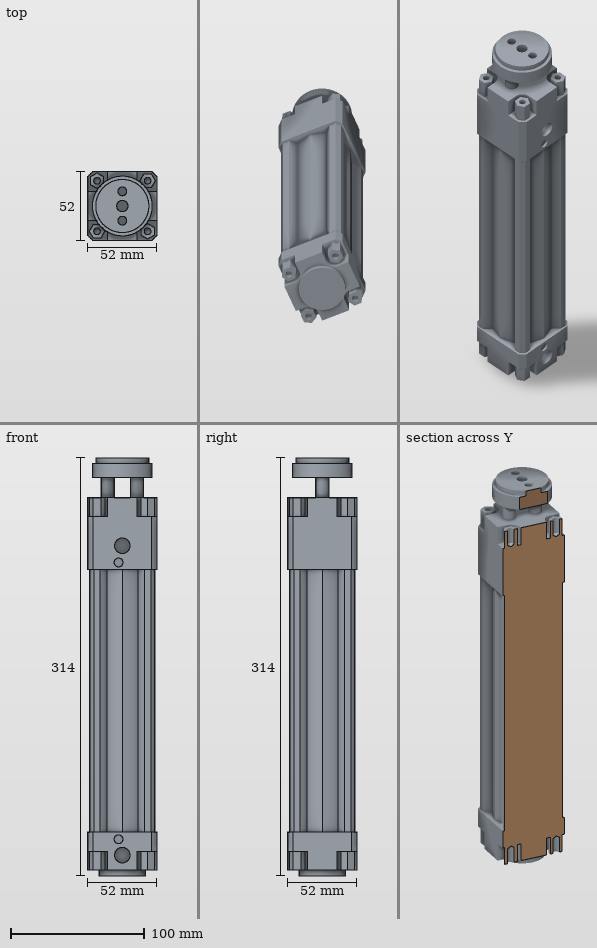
import cadquery as cq
import math

total_height = 314.0
spigot_height = 4.5
bottom_cap_height = 28.5
top_cap_height = 54.0
plate_height = 14.8
plate_rim_height = 4.0
rod_gap = 15.0

bottom_cap_z = spigot_height
tube_bottom_z = bottom_cap_z + bottom_cap_height
housing_top_z = total_height - plate_height - rod_gap
tube_top_z = housing_top_z - top_cap_height
plate_z = total_height - plate_height

cap_width = 52.0
cap_half = cap_width / 2
cap_chamfer = 4.0
notch_depth = 14.0
notch_edge = 11.0
notch_fillet = 7.0
spigot_diameter = 35.0

nut_spacing = 38.0
nut_offset = nut_spacing / 2
nut_corner_diameter = 11.5
nut_hole_diameter = 5.0
nut_hole_depth = 12.5
drill_point_angle = 118.0

tube_half = 24.5
tube_chamfer = 3.0
recess_half_width = 16.5
recess_depth = 5.0
ridge_depth = 1.5

port_diameter = 11.5
port_depth = 12.5
screw_hole_diameter = 6.5
screw_hole_depth = 1.5
screw_hole_x = -2.8
top_port_z = 248.0
top_screw_hole_z = 235.5
bottom_port_z = 15.7
bottom_screw_hole_z = 27.5

rod_diameter = 10.0
rod_offset = 11.0
plate_diameter = 45.0
plate_rim_diameter = 40.0
plate_center_hole_diameter = 8.5
plate_side_hole_diameter = 6.5
plate_side_hole_offset = 11.0


def make_cylinder(diameter, height, base_z, x=0.0, y=0.0):
    """Upright cylinder whose lower face is centred on (x, y, base_z)."""
    return cq.Workplane("XY", origin=(x, y, base_z)).circle(diameter / 2).extrude(height)


def make_corner_notch(base_z):
    """Cutter for one cap corner on the +X +Y side, rounded on its inner edge."""
    notch_size = cap_half - notch_edge
    return (
        cq.Workplane("XY", origin=(notch_edge, notch_edge, base_z))
        .rect(notch_size, notch_size, centered=False)
        .extrude(notch_depth)
        .edges("|Z and <X and <Y")
        .fillet(notch_fillet)
    )


def make_nut(base_z):
    """Plain hexagonal nut filling the height of the +X +Y notch."""
    return (
        cq.Workplane("XY", origin=(nut_offset, nut_offset, base_z))
        .polygon(6, nut_corner_diameter)
        .extrude(notch_depth)
    )


def make_nut_hole(outer_z, inward):
    """Drilled hole with a conical end, starting at outer_z; inward is +1 or -1 along Z."""
    radius = nut_hole_diameter / 2
    point_length = radius / math.tan(math.radians(drill_point_angle / 2))
    return (
        cq.Workplane("XZ", origin=(nut_offset, nut_offset, outer_z))
        .lineTo(radius, 0)
        .lineTo(radius, inward * nut_hole_depth)
        .lineTo(0, inward * (nut_hole_depth + point_length))
        .close()
        .revolve(360, (0, 0, 0), (0, 1, 0))
    )


def make_cap(base_z, height, notch_z, outer_z, inward):
    """Square end cap with a notch, a nut and a nut hole in each corner."""
    cap = (
        cq.Workplane("XY", origin=(0, 0, base_z))
        .rect(cap_width, cap_width)
        .extrude(height)
        .edges("|Z")
        .chamfer(cap_chamfer)
    )
    notch = make_corner_notch(notch_z)
    nut = make_nut(notch_z)
    nut_hole = make_nut_hole(outer_z, inward)
    for turn in range(4):
        angle = 90 * turn
        cap = cap.cut(notch.rotate((0, 0, 0), (0, 0, 1), angle))
        cap = cap.union(nut.rotate((0, 0, 0), (0, 0, 1), angle))
        cap = cap.cut(nut_hole.rotate((0, 0, 0), (0, 0, 1), angle))
    return cap


def make_tube():
    """Profiled tube: chamfered corners and a recess with a shallow ridge on each side."""
    corner = tube_half - tube_chamfer
    recess_floor = tube_half - recess_depth
    floor_half_width = recess_half_width - recess_depth
    side = [
        (tube_half, -corner),
        (tube_half, -recess_half_width),
        (recess_floor, -floor_half_width),
        (tube_half - ridge_depth, 0),
        (recess_floor, floor_half_width),
        (tube_half, recess_half_width),
        (tube_half, corner),
    ]
    outline = []
    for _ in range(4):
        outline += side
        side = [(-y, x) for x, y in side]
    return (
        cq.Workplane("XY", origin=(0, 0, tube_bottom_z))
        .polyline(outline)
        .close()
        .extrude(tube_top_z - tube_bottom_z)
    )


def make_side_hole(diameter, depth, x, z):
    """Cutter for a blind hole running inward from the -Y face of a cap."""
    return cq.Workplane("XZ", origin=(x, -cap_half, z)).circle(diameter / 2).extrude(-depth)


def make_housing():
    """Both caps, the tube between them and the locating spigot below."""
    bottom_cap = make_cap(bottom_cap_z, bottom_cap_height, bottom_cap_z, bottom_cap_z, 1)
    top_cap = make_cap(tube_top_z, top_cap_height, housing_top_z - notch_depth, housing_top_z, -1)
    spigot = make_cylinder(spigot_diameter, spigot_height, 0)
    body = bottom_cap.union(make_tube()).union(top_cap).union(spigot)
    for port_z in (top_port_z, bottom_port_z):
        body = body.cut(make_side_hole(port_diameter, port_depth, 0, port_z))
    for hole_z in (top_screw_hole_z, bottom_screw_hole_z):
        body = body.cut(make_side_hole(screw_hole_diameter, screw_hole_depth, screw_hole_x, hole_z))
    return body


def make_piston():
    """Stepped end plate with three through holes, carried by two rods standing on the housing."""
    plate = make_cylinder(plate_diameter, plate_height - plate_rim_height, plate_z)
    plate = plate.union(make_cylinder(plate_rim_diameter, plate_height, plate_z))
    plate = plate.cut(make_cylinder(plate_center_hole_diameter, plate_height, plate_z))
    for sign in (-1, 1):
        hole_y = sign * plate_side_hole_offset
        plate = plate.cut(make_cylinder(plate_side_hole_diameter, plate_height, plate_z, y=hole_y))
        plate = plate.union(make_cylinder(rod_diameter, rod_gap, housing_top_z, x=sign * rod_offset))
    return plate


housing = make_housing()
piston = make_piston()

result = cq.Compound.makeCompound([housing.val(), piston.val()])